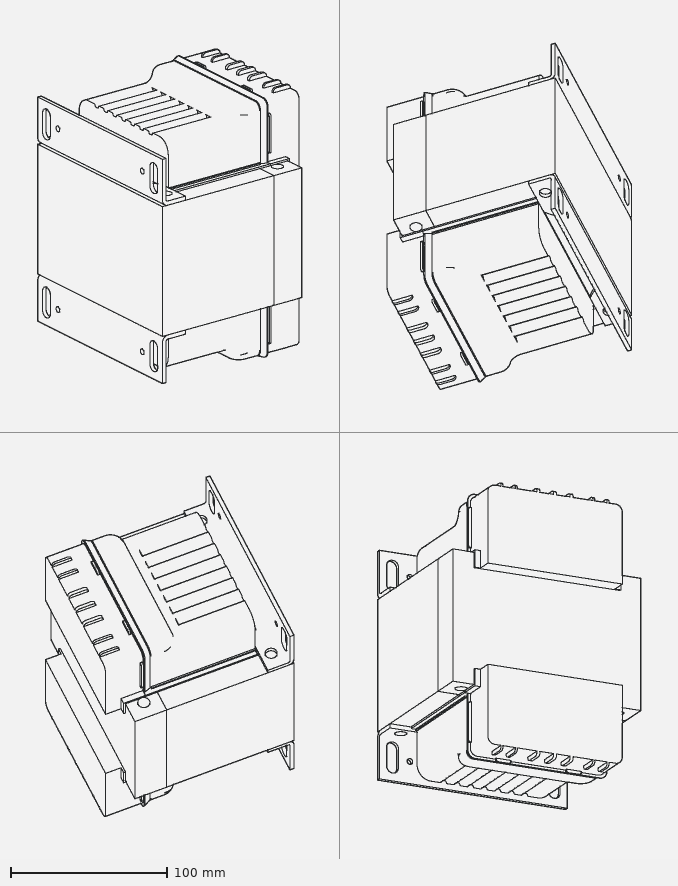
import cadquery as cq
import math


CORE_WIDTH = 133.3
CORE_HEIGHT = 89.3
LEG = CORE_WIDTH / 6
CORE_DEPTH = 5 * LEG
CORE_TOP = CORE_HEIGHT / 2
I_FRONT = CORE_DEPTH - LEG
BOLT_HOLE_DIAMETER = 7.8
BOLT_INSET = LEG / 2

FLANGE_THICKNESS = 1.3
FLANGE_WIDTH = 103.5
FLANGE_FRONT = 18.8
FLANGE_TOP = CORE_TOP + FLANGE_THICKNESS

SHEET = 2.9
BEND_INNER = 1.5
BEND_OUTER = BEND_INNER + SHEET
BRACKET_TOP = 77.2
BRACKET_DEPTH = 18.3
NOTCH_DEPTH = 5.8
NOTCH_BOTTOM_WIDTH = 69.1
SLOT_WIDTH = 8.3
SLOT_LENGTH = 21.0
SLOT_X = 57.3
SLOT_Z = 61.3
SMALL_HOLE_DIAMETER = 3.8
SMALL_HOLE_X = 45.0
SMALL_HOLE_Z = 62.2

TOTAL_DEPTH = 123.2
TOTAL_TOP = 90.5
COVER_WIDTH = 95.3
COVER_TOP = 87.5
COVER_EDGE_RADIUS = 4.9
JOINT_Y = 97.1

LOW_TOP = 79.4
LOW_EDGE_RADIUS = 2 * COVER_EDGE_RADIUS
HIGH_FRONT = 72.3
BLEND_RADIUS = 4.9
LIP_LENGTH = 5.6
LIP_LAND = 0.7
LIP_STEP = 0.2
LIP_FLARE = 1.6
LIP_FRONT = JOINT_Y - LIP_LENGTH
SILL_WIDTH = 97.5
SILL_HEIGHT = 0.9

GROOVE_COUNT = 7
GROOVE_PITCH = 9.5
GROOVE_TOP_WIDTH = 5.6
GROOVE_BOTTOM_WIDTH = 1.5
GROOVE_DEPTH = 1.8
GROOVE_END = 64.8

SKIRT_BOTTOM = 34.2
RIB_LENGTH = 13.7
RIB_END_RADIUS = 2.7
WIDE_RIB = 2.2
WIDE_RIB_X = (-11.8, 0, 11.8)
THIN_RIB = 1.5
THIN_RIB_X = (-37.6, -27.5, 27.5, 37.6)
CLIP_GAP = 0.5
CLIP_DEPTH = 1.5
CLIP_HEIGHT = 2.2
CLIP_END_RADIUS = 1.5
TOP_CLIP_LENGTH = 10.5
TOP_CLIP_X = 25.0
SIDE_CLIP_LENGTH = 27.1
SIDE_CLIP_Z = 65.7


def block(width, y_min, y_max, z_min, z_max):
    """Box centred on X = 0."""
    box = cq.Workplane("XY").box(width, y_max - y_min, z_max - z_min, centered=(True, False, False))
    return box.translate((0, y_min, z_min))


def core_holes(y):
    """Bolt clearance holes through the whole stack at one depth."""
    x = CORE_WIDTH / 2 - BOLT_INSET
    holes = cq.Workplane("XY").workplane(offset=-CORE_TOP).pushPoints([(-x, y), (x, y)])
    return holes.circle(BOLT_HOLE_DIAMETER / 2).extrude(CORE_HEIGHT)


def coil_windows():
    """The two openings of the E core, either side of its centre leg."""
    y_centre = (LEG + I_FRONT) / 2
    windows = cq.Workplane("XY").workplane(offset=-CORE_TOP)
    windows = windows.pushPoints([(-1.5 * LEG, y_centre), (1.5 * LEG, y_centre)])
    return windows.rect(LEG, I_FRONT - LEG).extrude(CORE_HEIGHT)


def make_e_core():
    core = block(CORE_WIDTH, 0, I_FRONT, -CORE_TOP, CORE_TOP)
    return core.cut(coil_windows()).cut(core_holes(BOLT_INSET))


def make_i_core():
    core = block(CORE_WIDTH, I_FRONT, CORE_DEPTH, -CORE_TOP, CORE_TOP)
    return core.cut(core_holes(CORE_DEPTH - BOLT_INSET))


def make_coil():
    """Winding that fills the core windows, with a flange plate over each end."""
    coil = coil_windows()
    coil = coil.union(block(FLANGE_WIDTH, FLANGE_FRONT, JOINT_Y, CORE_TOP, FLANGE_TOP))
    return coil.union(block(FLANGE_WIDTH, FLANGE_FRONT, JOINT_Y, -FLANGE_TOP, -CORE_TOP))


def make_bracket():
    """Bent sheet angle: foot on the core, upright leg with the mounting slots."""
    profile = (
        cq.Workplane("YZ")
        .moveTo(BRACKET_DEPTH, CORE_TOP)
        .lineTo(BEND_OUTER, CORE_TOP)
        .radiusArc((0, CORE_TOP + BEND_OUTER), BEND_OUTER)
        .lineTo(0, BRACKET_TOP)
        .lineTo(SHEET, BRACKET_TOP)
        .lineTo(SHEET, CORE_TOP + BEND_OUTER)
        .radiusArc((BEND_OUTER, CORE_TOP + SHEET), -BEND_INNER)
        .lineTo(BRACKET_DEPTH, CORE_TOP + SHEET)
        .close()
    )
    bracket = profile.extrude(CORE_WIDTH / 2, both=True)

    half = NOTCH_BOTTOM_WIDTH / 2
    notch = (
        cq.Workplane("XY", origin=(0, 0, CORE_TOP))
        .moveTo(-half, BRACKET_DEPTH - NOTCH_DEPTH)
        .lineTo(half, BRACKET_DEPTH - NOTCH_DEPTH)
        .lineTo(half + NOTCH_DEPTH, BRACKET_DEPTH)
        .lineTo(-half - NOTCH_DEPTH, BRACKET_DEPTH)
        .close()
        .extrude(SHEET)
    )

    leg = cq.Workplane("XZ")
    slots = leg.pushPoints([(-SLOT_X, SLOT_Z), (SLOT_X, SLOT_Z)])
    slots = slots.slot2D(SLOT_LENGTH, SLOT_WIDTH, 90).extrude(-SHEET)
    holes = leg.pushPoints([(-SMALL_HOLE_X, SMALL_HOLE_Z), (SMALL_HOLE_X, SMALL_HOLE_Z)])
    holes = holes.circle(SMALL_HOLE_DIAMETER / 2).extrude(-SHEET)
    holes = holes.union(core_holes(BOLT_INSET).translate((0, 0, CORE_TOP)))
    return bracket.cut(notch).cut(slots).cut(holes)


def arch(y, width, bottom, top, radius):
    """Wire across the cover at depth y: a rectangle with its two top corners rounded."""
    half = width / 2
    return (
        cq.Workplane("XZ", origin=(0, y, 0))
        .moveTo(-half, bottom)
        .lineTo(-half, top - radius)
        .radiusArc((-half + radius, top), radius)
        .lineTo(half - radius, top)
        .radiusArc((half, top - radius), radius)
        .lineTo(half, bottom)
        .close()
    )


def shroud_blend():
    """Concave sweep that carries the rounded section of the low part up into the high part."""
    rise = LOW_TOP + BLEND_RADIUS - (COVER_TOP - COVER_EDGE_RADIUS)
    reach = math.sqrt((BLEND_RADIUS + COVER_EDGE_RADIUS) ** 2 - rise**2)
    axis_y = HIGH_FRONT + COVER_EDGE_RADIUS - reach
    axis_z = LOW_TOP + BLEND_RADIUS
    bottom = LOW_TOP - 2 * LOW_EDGE_RADIUS
    section = arch(axis_y, COVER_WIDTH, bottom, LOW_TOP, LOW_EDGE_RADIUS)
    sweep_angle = 90 - math.degrees(math.asin(rise / (BLEND_RADIUS + COVER_EDGE_RADIUS)))
    return section.revolve(sweep_angle, (0, axis_z, 0), (1, axis_z, 0))


def lip_section(y, side_offset, top_offset):
    """Cover section at depth y, standing proud of the cover at its sides and top."""
    return arch(y, COVER_WIDTH + 2 * side_offset, FLANGE_TOP, COVER_TOP + top_offset, COVER_EDGE_RADIUS)


def flared_lip():
    """Rim at the back of the shroud, widening towards the terminal block between two straight lands."""
    front_land = lip_section(LIP_FRONT, 0, LIP_STEP).extrude(-LIP_LAND)
    back_land = lip_section(JOINT_Y - LIP_LAND, LIP_FLARE, LIP_FLARE).extrude(-LIP_LAND)
    narrow = lip_section(LIP_FRONT + LIP_LAND, 0, LIP_STEP).wires().val()
    wide = lip_section(JOINT_Y - LIP_LAND, LIP_FLARE, LIP_FLARE).wires().val()
    flare = cq.Workplane(cq.Solid.makeLoft([narrow, wide], True))
    return flare.union(front_land).union(back_land)


def cooling_grooves():
    """Parallel grooves with S-curved sides, open at the front of the shroud."""
    top = GROOVE_TOP_WIDTH / 2
    bottom = GROOVE_BOTTOM_WIDTH / 2
    floor = LOW_TOP - GROOVE_DEPTH

    middle = (top + bottom) / 2
    half_run = (top - bottom) / 2
    half_drop = GROOVE_DEPTH / 2
    radius = (half_run**2 + half_drop**2) / (2 * half_drop)
    groove = (
        cq.Workplane("XZ", origin=(0, FLANGE_FRONT, 0))
        .moveTo(-top, LOW_TOP)
        .radiusArc((-middle, LOW_TOP - half_drop), radius)
        .radiusArc((-bottom, floor), -radius)
        .lineTo(bottom, floor)
        .radiusArc((middle, LOW_TOP - half_drop), -radius)
        .radiusArc((top, LOW_TOP), radius)
        .close()
        .extrude(FLANGE_FRONT - GROOVE_END)
    )
    first = -(GROOVE_COUNT - 1) / 2
    return [groove.translate(((first + i) * GROOVE_PITCH, 0, 0)) for i in range(GROOVE_COUNT)]


def make_shroud():
    """Coil end cover: a low front part that rises in an S-curve to the high back part."""
    low = arch(FLANGE_FRONT, COVER_WIDTH, FLANGE_TOP, LOW_TOP, LOW_EDGE_RADIUS)
    low = low.extrude(FLANGE_FRONT - JOINT_Y)

    high = block(COVER_WIDTH, HIGH_FRONT, JOINT_Y, FLANGE_TOP, COVER_TOP)
    high = high.edges("|Z and <Y").fillet(LOW_EDGE_RADIUS)
    high = high.faces(">Z").edges("not >Y").fillet(COVER_EDGE_RADIUS)

    envelope = arch(FLANGE_FRONT, COVER_WIDTH, FLANGE_TOP, COVER_TOP, COVER_EDGE_RADIUS)
    envelope = envelope.extrude(FLANGE_FRONT - JOINT_Y)

    shroud = low.union(shroud_blend().intersect(envelope)).union(high)
    shroud = shroud.union(flared_lip())
    shroud = shroud.union(block(SILL_WIDTH, FLANGE_FRONT, LIP_FRONT, FLANGE_TOP, FLANGE_TOP + SILL_HEIGHT))
    for groove in cooling_grooves():
        shroud = shroud.cut(groove)
    return shroud


def rib(x, width):
    """Raised rib on top of the terminal block, rounded at both ends."""
    ridge = block(width, TOTAL_DEPTH - RIB_LENGTH, TOTAL_DEPTH, COVER_TOP, TOTAL_TOP)
    return ridge.faces(">Z").edges("|X").fillet(RIB_END_RADIUS).translate((x, 0, 0))


def clip(length):
    """Catch standing on Z = 0 just behind the joint, rounded at both ends."""
    front = JOINT_Y + CLIP_GAP
    catch = block(length, front, front + CLIP_DEPTH, 0, CLIP_HEIGHT)
    return catch.faces(">Z").edges("|Y").fillet(CLIP_END_RADIUS)


def make_terminal_block():
    """Back cover that hooks over the rear edge of the core."""
    body = arch(JOINT_Y, COVER_WIDTH, SKIRT_BOTTOM, COVER_TOP, COVER_EDGE_RADIUS)
    body = body.extrude(JOINT_Y - TOTAL_DEPTH)
    body = body.union(
        block(FLANGE_WIDTH, JOINT_Y, CORE_DEPTH + FLANGE_THICKNESS, SKIRT_BOTTOM, FLANGE_TOP)
    )
    body = body.cut(block(CORE_WIDTH, JOINT_Y, CORE_DEPTH, SKIRT_BOTTOM, CORE_TOP))

    for x in WIDE_RIB_X:
        body = body.union(rib(x, WIDE_RIB))
    for x in THIN_RIB_X:
        body = body.union(rib(x, THIN_RIB))

    for side in (-1, 1):
        body = body.union(clip(TOP_CLIP_LENGTH).translate((side * TOP_CLIP_X, 0, COVER_TOP)))
        side_clip = clip(SIDE_CLIP_LENGTH).rotate((0, 0, 0), (0, 1, 0), side * 90)
        body = body.union(side_clip.translate((side * COVER_WIDTH / 2, 0, SIDE_CLIP_Z)))
    return body


bodies = [make_e_core().val(), make_i_core().val(), make_coil().val()]
for end_part in (make_bracket(), make_shroud(), make_terminal_block()):
    bodies.append(end_part.val())
    bodies.append(end_part.mirror("XY").val())

result = cq.Compound.makeCompound(bodies)